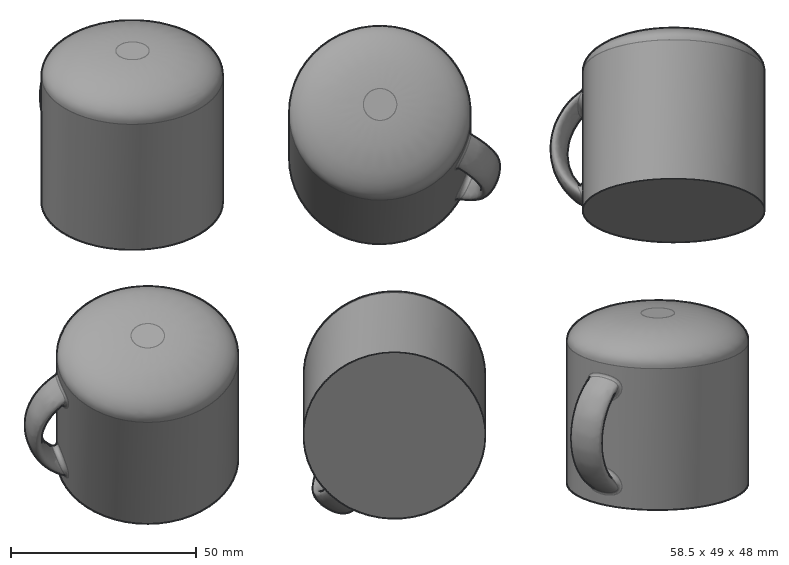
import cadquery as cq
import math

body_diameter = 49.0
body_height = 48.0
dome_height = 8.0
top_flat_radius = 4.5

handle_reach = 9.5
handle_width = 10.0
handle_thickness = 4.0
handle_arc_radius = 17.0
handle_root_depth = 3.0
root_fillet_radius = 1.0

body_radius = body_diameter / 2
wall_height = body_height - dome_height
handle_mid_height = wall_height / 2


def make_body():
    """Revolve the half profile; the dome is a quarter ellipse tangent to the wall and the flat."""
    dome_run = body_radius - top_flat_radius
    return (
        cq.Workplane("XZ")
        .lineTo(body_radius, 0)
        .lineTo(body_radius, wall_height)
        .ellipseArc(dome_run, dome_height, 0, 90)
        .lineTo(0, body_height)
        .close()
        .revolve(360, (0, 0), (0, 1))
    )


def make_handle():
    """Sweep the elliptical section along the arc, starting from the buried lower end."""
    path_tip_x = -(body_radius + handle_reach - handle_thickness / 2)
    arc_centre_x = path_tip_x + handle_arc_radius
    root_x = -(body_radius - handle_root_depth)
    half_angle = math.acos((arc_centre_x - root_x) / handle_arc_radius)
    root_rise = handle_arc_radius * math.sin(half_angle)
    lower_root = (root_x, handle_mid_height - root_rise)
    upper_root = (root_x, handle_mid_height + root_rise)

    path = (
        cq.Workplane("XZ")
        .moveTo(*lower_root)
        .threePointArc((path_tip_x, handle_mid_height), upper_root)
    )
    section_plane = cq.Plane(
        origin=(lower_root[0], 0, lower_root[1]),
        xDir=(0, 1, 0),
        normal=(-math.sin(half_angle), 0, math.cos(half_angle)),
    )
    section = cq.Workplane(section_plane).ellipse(handle_width / 2, handle_thickness / 2)
    return section.sweep(path)


def blend_handle_roots(mug):
    """Round the two closed seams where the handle meets the cylindrical wall."""
    seam_margin = 1.0
    seam_zone = cq.selectors.BoxSelector(
        (-body_radius - seam_margin, -handle_width, seam_margin),
        (-body_radius + seam_margin, handle_width, wall_height - seam_margin),
    )
    return mug.edges(seam_zone).fillet(root_fillet_radius)


result = blend_handle_roots(make_body().union(make_handle()))